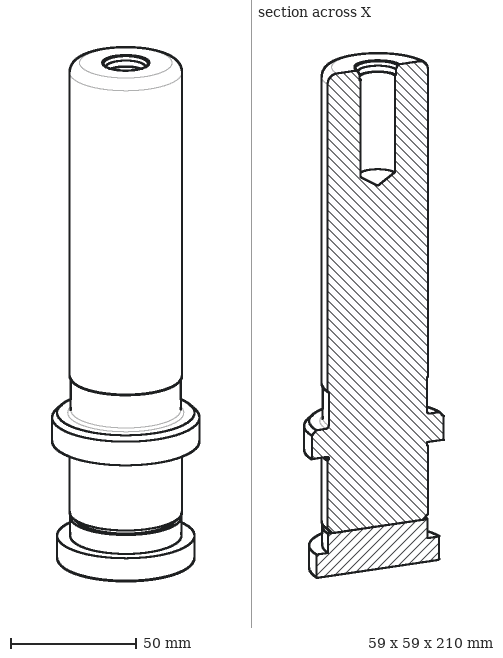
import cadquery as cq
import math

total_height = 210.0
post_diameter = 45.0

cap_diameter = 55.0
cap_thickness = 10.0
cap_edge_chamfer = 0.5
spigot_diameter = 44.5
spigot_height = 8.0

collar_diameter = 59.0
collar_bottom = 50.0
collar_thickness = 12.0
collar_top = collar_bottom + collar_thickness
collar_chamfer_width = 2.0
collar_chamfer_height = 2.0
collar_undercut_diameter = 44.0
collar_undercut_height = 1.5
collar_undercut_fillet = 0.5
collar_undercut_chamfer = (post_diameter - collar_undercut_diameter) / 2
neck_diameter = 44.0
neck_top = 77.5
collar_fillet = 1.2
shoulder_chamfer = (post_diameter - neck_diameter) / 2
lower_end_chamfer = 2.0
top_round = 4.0

hole_diameter = 15.0
hole_depth = 45.0
drill_point_angle = 118.0
recess_diameter = 16.0
recess_depth = 4.3
centre_cone_diameter = 17.8
centre_cone_angle = 60.0
mouth_diameter = 18.8
mouth_cone_angle = 120.0

post_radius = post_diameter / 2
cap_top = cap_thickness + spigot_height


def revolve_about_z(profile):
    """Turn a closed (radius, height) profile into a solid about the Z axis."""
    return profile.close().revolve(360, (0, 0, 0), (0, 1, 0))


def make_cap():
    """Stepped retaining cap: a wide disc with a spigot that meets the post."""
    disc = cq.Workplane("XY").circle(cap_diameter / 2).extrude(cap_thickness)
    disc = disc.faces("<Z").edges().chamfer(cap_edge_chamfer)
    return disc.faces(">Z").workplane().circle(spigot_diameter / 2).extrude(spigot_height)


def make_post_blank():
    """Turned outside of the post, from its chamfered lower end to its rounded top."""
    collar_radius = collar_diameter / 2
    undercut_radius = collar_undercut_diameter / 2
    neck_radius = neck_diameter / 2
    profile = (
        cq.Workplane("XZ")
        .moveTo(0, cap_top)
        .lineTo(post_radius - lower_end_chamfer, cap_top)
        .lineTo(post_radius, cap_top + lower_end_chamfer)
        .lineTo(post_radius, collar_bottom - collar_undercut_height)
        .lineTo(undercut_radius, collar_bottom - collar_undercut_height + collar_undercut_chamfer)
        .lineTo(undercut_radius, collar_bottom - collar_undercut_fillet)
        .radiusArc((undercut_radius + collar_undercut_fillet, collar_bottom), collar_undercut_fillet)
        .lineTo(collar_radius, collar_bottom)
        .lineTo(collar_radius, collar_top - collar_chamfer_height)
        .lineTo(collar_radius - collar_chamfer_width, collar_top)
        .lineTo(neck_radius + collar_fillet, collar_top)
        .radiusArc((neck_radius, collar_top + collar_fillet), collar_fillet)
        .lineTo(neck_radius, neck_top - shoulder_chamfer)
        .lineTo(post_radius, neck_top)
        .lineTo(post_radius, total_height - top_round)
        .radiusArc((post_radius - top_round, total_height), -top_round)
        .lineTo(0, total_height)
    )
    return revolve_about_z(profile)


def cone_height(large_diameter, small_diameter, included_angle):
    """Axial length of a cone between two diameters."""
    radial_change = (large_diameter - small_diameter) / 2
    return radial_change / math.tan(math.radians(included_angle / 2))


def make_top_hole():
    """Blind hole with a drill point, a short recess, a centre cone and a protected mouth."""
    hole_radius = hole_diameter / 2
    recess_radius = recess_diameter / 2
    hole_bottom = total_height - hole_depth
    recess_bottom = total_height - recess_depth
    mouth_bottom = total_height - cone_height(mouth_diameter, centre_cone_diameter, mouth_cone_angle)
    cone_bottom = mouth_bottom - cone_height(centre_cone_diameter, recess_diameter, centre_cone_angle)
    profile = (
        cq.Workplane("XZ")
        .moveTo(0, hole_bottom - cone_height(hole_diameter, 0, drill_point_angle))
        .lineTo(hole_radius, hole_bottom)
        .lineTo(hole_radius, recess_bottom)
        .lineTo(recess_radius, recess_bottom)
        .lineTo(recess_radius, cone_bottom)
        .lineTo(centre_cone_diameter / 2, mouth_bottom)
        .lineTo(mouth_diameter / 2, total_height)
        .lineTo(0, total_height)
    )
    return revolve_about_z(profile)


cap = make_cap()
post = make_post_blank().cut(make_top_hole())

result = cq.Compound.makeCompound([cap.val(), post.val()])